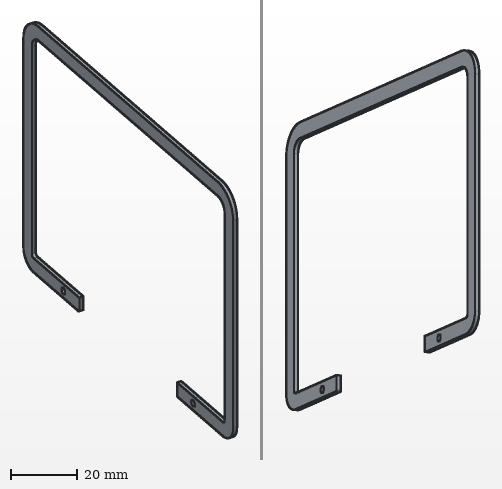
import cadquery as cq

width = 122.8
height = 88.8
thickness = 1.5

strip_width = 5.0
top_outer_radius = 9.0
top_inner_radius = top_outer_radius - strip_width
bottom_outer_radius = 6.0
bottom_inner_radius = bottom_outer_radius - strip_width
end_corner_radius = 0.5

gap_width = 57.2
hole_diameter = 2.1
hole_spacing = 75.9


def rounded_plate(plate_width, plate_height, top_radius, bottom_radius):
    """Plate in the XZ plane, centred on the origin, with separate top and bottom corner radii."""
    plate = cq.Workplane("XY").box(plate_width, thickness, plate_height)
    plate = plate.edges("|Y and >Z").fillet(top_radius)
    return plate.edges("|Y and <Z").fillet(bottom_radius)


frame = rounded_plate(width, height, top_outer_radius, bottom_outer_radius)
opening = rounded_plate(
    width - 2 * strip_width, height - 2 * strip_width, top_inner_radius, bottom_inner_radius
)
frame = frame.cut(opening)

foot_center_z = (strip_width - height) / 2
gap = cq.Workplane("XY").box(gap_width, thickness, strip_width).translate((0, 0, foot_center_z))
frame = frame.cut(gap)

for side in (-1, 1):
    foot_corner = (side * gap_width / 2, 0, -height / 2)
    frame = frame.edges(cq.selectors.NearestToPointSelector(foot_corner)).fillet(end_corner_radius)

holes = (
    cq.Workplane("XZ")
    .pushPoints([(side * hole_spacing / 2, foot_center_z) for side in (-1, 1)])
    .circle(hole_diameter / 2)
    .extrude(thickness, both=True)
)
result = frame.cut(holes)